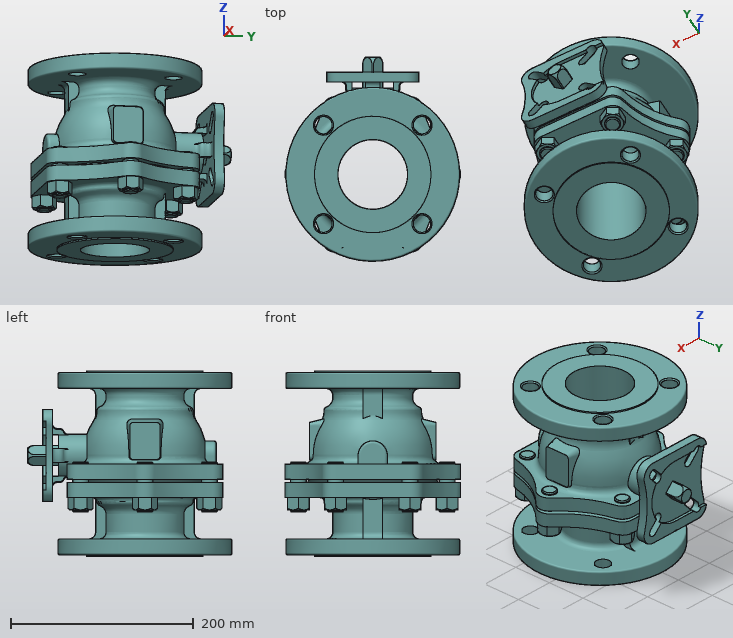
import math

import cadquery as cq


top_z = 92.5
face_to_face = 203.0
bottom_z = top_z - face_to_face
bore_dia = 76.0
flange_dia = 190.5
flange_thickness = 17.7
flange_edge_fillet = 2.0
raised_face_dia = 127.5
raised_face_height = 1.6
flange_hole_dia = 19.0
flange_hole_circle_dia = 152.4
flange_hole_count = 4
flange_hole_chamfer = 1.5
top_flange_under = top_z - raised_face_height - flange_thickness
mid_z = top_z - face_to_face / 2
bottom_flange_upper = bottom_z + raised_face_height + flange_thickness

neck_radius = 43.9
neck_fillet = 7.2
shoulder_radius = 53.5
sphere_radius = 67.5
sphere_z = 0.9
sphere_top_z = 38.6
upper_shoulder_z = 48.6
shoulder_land = 0.2
blend_curve = 21.0
upper_neck_z = 63.3
belt_bottom_z = -1.2
belt_flare = 8.2
shoulder_share = 0.33
lower_neck_z = -64.3
lower_shoulder_fillet = 4.1

joint_top_z = belt_bottom_z - belt_flare
joint_plate_thickness = 16.7
joint_gap = 3.4
joint_upper_bottom_z = joint_top_z - joint_plate_thickness
joint_lower_top_z = joint_upper_bottom_z - joint_gap
joint_bottom_z = joint_lower_top_z - joint_plate_thickness
lower_shoulder_z = joint_bottom_z - lower_shoulder_fillet
upper_spigot_radius = 70.3
lower_spigot_radius = 71.1
joint_width_x = 192.4
joint_lobe_radius = 14.8
joint_bolt_radius = joint_width_x / 2 - joint_lobe_radius
joint_waist_radius = 118.0
joint_bolt_count = 6

stud_dia = 17.5
stud_tip_dia = 15.0
stud_projection = 2.5
nut_across_flats = 24.0
nut_height = 13.3
nut_chamfer_rise = 1.8

rib_width = 20.8
rib_reach = 54.1
upper_rib_tip_z = 30.0
pad_reach = 69.4
pad_width = 33.2
pad_top_z = 36.3
pad_bottom_z = -4.4
pad_corner_radius = 4.0
pad_draft_angle = 14.0
pad_depth = 20.0
boss_radius = 16.0
boss_reach = 78.2
boss_edge_fillet = 3.3

stem_neck_dia = 47.0
stem_neck_end = 94.7
stem_tip = 128.5
stem_square = 17.0
stem_corner_radius = 11.2
stem_tip_radius = 8.0
stem_tip_length = 8.3
plate_inner = 101.1
plate_outer = 112.0
plate_half_size = 50.5
plate_ear_radius = 14.3
plate_waist_radius = 122.5
recess_radius = 38.0
recess_depth = 3.7
slot_width = 11.0
slot_inner_circle_dia = 70.0
slot_outer_circle_dia = 102.0
post_width = 15.6
post_inner_radius = 22.5
post_outer_radius = 29.7
post_foot_fillet = 4.7
post_shoulder_y = 93.7
post_end_y = 84.1


def disc(radius, z_low, z_high):
    return cq.Workplane("XY").workplane(offset=z_low).circle(radius).extrude(z_high - z_low)


def between(start, end, fraction):
    return tuple(a + fraction * (b - a) for a, b in zip(start, end))


def upper_shell():
    """Axisymmetric wall from the joint up to the top flange, drawn as (radius, z)."""
    shoulder = (shoulder_radius, upper_shoulder_z)
    neck = (neck_radius, upper_neck_z)
    inflection = between(shoulder, neck, shoulder_share)
    sphere_end = (math.sqrt(sphere_radius ** 2 - (sphere_top_z - sphere_z) ** 2), sphere_top_z)
    return (
        cq.Workplane("XZ")
        .moveTo(0, joint_upper_bottom_z)
        .lineTo(sphere_radius, joint_upper_bottom_z)
        .lineTo(sphere_radius + belt_flare, joint_top_z)
        .radiusArc((sphere_radius, belt_bottom_z), belt_flare)
        .lineTo(sphere_radius, sphere_z)
        .tangentArcPoint(sphere_end, relative=False)
        .radiusArc(shoulder, blend_curve)
        .lineTo(shoulder_radius, upper_shoulder_z + shoulder_land)
        .tangentArcPoint(inflection, relative=False)
        .tangentArcPoint(neck, relative=False)
        .lineTo(neck_radius, top_flange_under - neck_fillet)
        .tangentArcPoint((neck_radius + neck_fillet, top_flange_under), relative=False)
        .lineTo(0, top_flange_under)
        .close()
        .revolve(360, (0, 0), (0, 1))
    )


def lower_shell():
    """Axisymmetric wall from the joint down to the bottom flange, drawn as (radius, z)."""
    shoulder = (shoulder_radius, lower_shoulder_z)
    neck = (neck_radius, lower_neck_z)
    inflection = between(shoulder, neck, shoulder_share)
    shoulder_root = (shoulder_radius + lower_shoulder_fillet, joint_bottom_z)
    return (
        cq.Workplane("XZ")
        .moveTo(0, joint_lower_top_z)
        .lineTo(shoulder_radius, joint_lower_top_z)
        .lineTo(*shoulder_root)
        .radiusArc(shoulder, -lower_shoulder_fillet)
        .tangentArcPoint(inflection, relative=False)
        .tangentArcPoint(neck, relative=False)
        .lineTo(neck_radius, bottom_flange_upper + neck_fillet)
        .tangentArcPoint((neck_radius + neck_fillet, bottom_flange_upper), relative=False)
        .lineTo(0, bottom_flange_upper)
        .close()
        .revolve(360, (0, 0), (0, 1))
    )


def top_flange():
    """Round flange with a raised face and bolt holes chamfered on the outer side."""
    rim_top = top_z - raised_face_height
    flange = disc(flange_dia / 2, top_flange_under, rim_top).edges().fillet(flange_edge_fillet)
    flange = flange.union(disc(raised_face_dia / 2, rim_top, top_z))
    for index in range(flange_hole_count):
        angle = math.radians(360 / flange_hole_count * (index + 0.5))
        x = flange_hole_circle_dia / 2 * math.cos(angle)
        y = flange_hole_circle_dia / 2 * math.sin(angle)
        hole = disc(flange_hole_dia / 2, top_flange_under, rim_top)
        entry = cq.Workplane(cq.Solid.makeCone(
            flange_hole_dia / 2,
            flange_hole_dia / 2 + flange_hole_chamfer,
            flange_hole_chamfer,
            pnt=cq.Vector(0, 0, rim_top - flange_hole_chamfer),
        ))
        flange = flange.cut(hole.union(entry).translate((x, y, 0)))
    return flange


def bottom_flange():
    """The top flange turned upside down."""
    return top_flange().mirror("XY", (0, 0, mid_z))


def joint_bolt_positions():
    step = 2 * math.pi / joint_bolt_count
    return [
        (joint_bolt_radius * math.cos(index * step), joint_bolt_radius * math.sin(index * step))
        for index in range(joint_bolt_count)
    ]


def joint_plate(z_low, z_high):
    """Hexagonal plate with round lobes at the bolts, flat at +-Y and waisted on its other sides."""
    bolts = joint_bolt_positions()
    plate = cq.Workplane("XY").workplane(offset=z_low).polyline(bolts).close().extrude(z_high - z_low)
    flat_length = bolts[1][0] - bolts[2][0]
    flat_reach = bolts[1][1] + joint_lobe_radius
    flats = cq.Workplane("XY").workplane(offset=z_low).rect(flat_length, 2 * flat_reach)
    plate = plate.union(flats.extrude(z_high - z_low))
    half_pitch = math.pi / joint_bolt_count
    half_chord = joint_bolt_radius * math.sin(half_pitch)
    centre_to_lobe = joint_waist_radius + joint_lobe_radius
    chord_distance = joint_bolt_radius * math.cos(half_pitch)
    waist_distance = chord_distance + math.sqrt(centre_to_lobe ** 2 - half_chord ** 2)
    touch = joint_lobe_radius / centre_to_lobe
    for side in (half_pitch, math.pi - half_pitch, math.pi + half_pitch, -half_pitch):
        waist = (waist_distance * math.cos(side), waist_distance * math.sin(side))
        ends = [
            (joint_bolt_radius * math.cos(side + turn), joint_bolt_radius * math.sin(side + turn))
            for turn in (half_pitch, -half_pitch)
        ]
        corners = [between(end, waist, touch) for end in ends]
        web = (
            cq.Workplane("XY").workplane(offset=z_low)
            .polyline([ends[0], corners[0], corners[1], ends[1]]).close().extrude(z_high - z_low)
        )
        plate = plate.union(web)
        plate = plate.cut(disc(joint_waist_radius, z_low, z_high).translate((*waist, 0)))
    for x, y in bolts:
        plate = plate.union(disc(joint_lobe_radius, z_low, z_high).translate((x, y, 0)))
    return plate


def stud():
    """Stud through both plates, chamfered at its two ends."""
    chamfer = (stud_dia - stud_tip_dia) / 2
    low = joint_bottom_z - nut_height - stud_projection
    return disc(stud_dia / 2, low, joint_top_z + stud_projection).edges().chamfer(chamfer)


def nut():
    """Hexagon nut below the joint, its corners turned off on the lower side."""
    corner_dia = nut_across_flats / math.cos(math.pi / 6)
    low = joint_bottom_z - nut_height
    hexagon = cq.Workplane("XY").workplane(offset=low).polygon(6, corner_dia).extrude(nut_height)
    corner_cut = (corner_dia - nut_across_flats) / 2
    turned = disc(corner_dia / 2, low, joint_bottom_z).faces("<Z").chamfer(nut_chamfer_rise, corner_cut)
    return hexagon.rotate((0, 0, 0), (0, 0, 1), 90).intersect(turned)


def rib(flange_z, tip_z):
    """Flat rib across the Y axis, flared where it meets the flange."""
    away = math.copysign(1, tip_z - flange_z)
    foot_z = flange_z + away * neck_fillet
    return (
        cq.Workplane("YZ").workplane(offset=-rib_width / 2)
        .moveTo(-rib_reach, foot_z)
        .lineTo(-rib_reach, tip_z)
        .lineTo(rib_reach, tip_z)
        .lineTo(rib_reach, foot_z)
        .tangentArcPoint((rib_reach + neck_fillet, flange_z), relative=False)
        .lineTo(-rib_reach - neck_fillet, flange_z)
        .radiusArc((-rib_reach, foot_z), -away * neck_fillet)
        .close()
        .extrude(rib_width)
    )


def side_pad():
    """Drafted pad on the +X side of the body, growing towards the axis."""
    height = pad_top_z - pad_bottom_z
    face = cq.Sketch().rect(pad_width, height).vertices().fillet(pad_corner_radius)
    return (
        cq.Workplane("YZ").workplane(offset=pad_reach)
        .center(0, pad_bottom_z + height / 2)
        .placeSketch(face)
        .extrude(-pad_depth, taper=-pad_draft_angle)
    )


def front_boss():
    """Arched boss on the -Y side, standing on the joint plate, with a rounded front edge."""
    arch = (
        cq.Workplane("XZ").workplane(offset=rib_reach)
        .moveTo(-boss_radius, joint_upper_bottom_z)
        .lineTo(-boss_radius, 0)
        .threePointArc((0, boss_radius), (boss_radius, 0))
        .lineTo(boss_radius, joint_upper_bottom_z)
        .close()
        .extrude(boss_reach - rib_reach)
    )
    return arch.faces("<Y").edges("not <Z").fillet(boss_edge_fillet)


def along_y(radius, y_low, y_high):
    return cq.Workplane("XZ").workplane(offset=-y_low).circle(radius).extrude(y_low - y_high)


def stem():
    """Square stem with its edges along X and Z, turned corners and a domed tip."""
    dome_start = stem_tip - stem_tip_length
    turned = (
        cq.Workplane("XY")
        .lineTo(stem_corner_radius, 0)
        .lineTo(stem_corner_radius, dome_start)
        .tangentArcPoint((stem_tip_radius, stem_tip), relative=False)
        .lineTo(0, stem_tip)
        .close()
        .revolve(360, (0, 0), (0, 1))
    )
    square = cq.Workplane("XZ").rect(stem_square, stem_square).extrude(-stem_tip)
    return square.rotate((0, 0, 0), (0, 1, 0), 45).intersect(turned)


def plate_outline():
    """Square with round ears and inward waists on its +-X sides, drawn as (x, z)."""
    ear = plate_half_size - plate_ear_radius
    ear_to_waist = plate_waist_radius + plate_ear_radius
    waist_x = math.sqrt(ear_to_waist ** 2 - ear ** 2) + ear
    lean = math.asin(ear / ear_to_waist)
    touch_x = ear + plate_ear_radius * math.cos(lean)
    touch_z = ear - plate_ear_radius * math.sin(lean)
    ear_middle_angle = (math.pi / 2 - lean) / 2
    ear_middle_x = ear + plate_ear_radius * math.cos(ear_middle_angle)
    ear_middle_z = ear + plate_ear_radius * math.sin(ear_middle_angle)
    outline = cq.Workplane("XZ").workplane(offset=-plate_inner).moveTo(-ear, plate_half_size)
    for side in (1, -1):
        outline = (
            outline
            .lineTo(side * ear, side * plate_half_size)
            .threePointArc((side * ear_middle_x, side * ear_middle_z), (side * touch_x, side * touch_z))
            .threePointArc((side * (waist_x - plate_waist_radius), 0), (side * touch_x, -side * touch_z))
            .threePointArc((side * ear_middle_x, -side * ear_middle_z), (side * ear, -side * plate_half_size))
        )
    return outline.close()


def actuator_plate():
    """Waisted plate with radial slots and a recess in its outer face that is open to -X."""
    thickness = plate_outer - plate_inner
    plate = plate_outline().extrude(-thickness)
    floor = plate_outer - recess_depth
    opening = cq.Workplane("XY").box(2 * plate_half_size, recess_depth, 2 * recess_radius)
    opening = opening.translate((-plate_half_size, floor + recess_depth / 2, 0))
    plate = plate.cut(along_y(recess_radius, floor, plate_outer).union(opening))
    slot_middle = (slot_inner_circle_dia + slot_outer_circle_dia) / 4
    slot_length = (slot_outer_circle_dia - slot_inner_circle_dia) / 2 + slot_width
    slot = (
        cq.Workplane("XZ").workplane(offset=-plate_inner)
        .center(slot_middle, 0).slot2D(slot_length, slot_width).extrude(-thickness)
    )
    for angle in (45, 135, 225, 315):
        plate = plate.cut(slot.rotate((0, 0, 0), (0, 1, 0), angle))
    return plate


def plate_post():
    """Post on the +X side that carries the plate: a slice of a ring turned about the stem axis."""
    shoulder = (post_outer_radius, post_shoulder_y)
    blend_end = (stem_neck_dia / 2, post_end_y)
    foot_radius = post_outer_radius + post_foot_fillet
    turned = (
        cq.Workplane("XY")
        .moveTo(0, post_end_y)
        .lineTo(0, plate_inner)
        .lineTo(foot_radius, plate_inner)
        .radiusArc((post_outer_radius, plate_inner - post_foot_fillet), -post_foot_fillet)
        .lineTo(*shoulder)
        .tangentArcPoint(between(shoulder, blend_end, 0.5), relative=False)
        .tangentArcPoint(blend_end, relative=False)
        .close()
        .revolve(360, (0, 0), (0, 1))
    )
    slice_depth = foot_radius - post_inner_radius
    ring_slice = cq.Workplane("XY").box(
        slice_depth, plate_inner - post_end_y, post_width, centered=(False, False, True)
    )
    return turned.intersect(ring_slice.translate((post_inner_radius, post_end_y, 0)))


def valve():
    body = upper_shell().union(lower_shell()).union(top_flange()).union(bottom_flange())
    gap_middle = (joint_upper_bottom_z + joint_lower_top_z) / 2
    body = body.union(disc(upper_spigot_radius, gap_middle, joint_upper_bottom_z))
    body = body.union(disc(lower_spigot_radius, joint_lower_top_z, gap_middle))
    body = body.union(joint_plate(joint_upper_bottom_z, joint_top_z))
    body = body.union(joint_plate(joint_bottom_z, joint_lower_top_z))
    for x, y in joint_bolt_positions():
        body = body.union(stud().union(nut()).translate((x, y, 0)))
    body = body.union(rib(top_flange_under, upper_rib_tip_z))
    body = body.union(rib(bottom_flange_upper, joint_bottom_z))
    body = body.union(side_pad()).union(side_pad().mirror("YZ"))
    body = body.union(front_boss())
    body = body.union(along_y(stem_neck_dia / 2, 0, stem_neck_end)).union(stem())
    body = body.union(actuator_plate())
    for angle in (0, 90, 180, 270):
        body = body.union(plate_post().rotate((0, 0, 0), (0, 1, 0), angle))
    return body.cut(disc(bore_dia / 2, bottom_z, top_z))


result = valve()